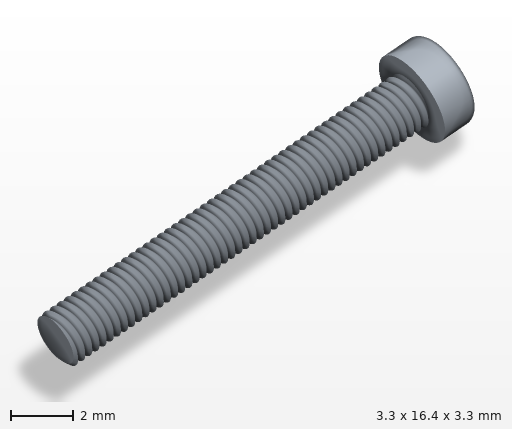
import cadquery as cq
import math

total_length = 16.35
head_diameter = 3.3
head_height = 1.4
head_fillet = 0.31

root_diameter = 1.6
crest_diameter = 2.0
thread_turns = 49.8
buried_turns = 2

shank_length = total_length - head_height
pitch = shank_length / thread_turns
root_radius = root_diameter / 2
crest_radius = crest_diameter / 2


def make_head():
    """Cylindrical head below Z = 0 with a rounded outer rim."""
    head = cq.Workplane("XY").circle(head_diameter / 2).extrude(-head_height)
    return head.faces("<Z").edges().fillet(head_fillet)


def helix_turn(radius, start_z):
    """One turn of a right-handed helix that starts and ends above +X."""
    wire = cq.Wire.makeHelix(pitch, pitch, radius, center=cq.Vector(0, 0, start_z))
    return wire.Edges()[0]


def make_end_caps(start_z, profile_start_z):
    """Close one end: a helicoid from the axis to the root, and a radial face beside it."""
    axis = cq.Edge.makeLine(cq.Vector(0, 0, start_z), cq.Vector(0, 0, start_z + pitch))
    helicoid = cq.Face.makeRuledSurface(axis, helix_turn(root_radius, start_z))
    profile = [
        (0, profile_start_z),
        (root_radius, profile_start_z),
        (crest_radius, profile_start_z + pitch / 2),
        (root_radius, profile_start_z + pitch),
        (0, profile_start_z + pitch),
    ]
    corners = [cq.Vector(x, 0, z) for x, z in profile]
    radial = cq.Face.makeFromWires(cq.Wire.makePolygon(corners, close=True))
    return [helicoid, radial]


def make_threaded_shank():
    """Shank bounded by helical flanks, starting inside the head and cut square at the tip."""
    first_z = -buried_turns * pitch
    turns = buried_turns + math.ceil(thread_turns) + 1
    last_z = first_z + turns * pitch

    faces = make_end_caps(first_z, first_z) + make_end_caps(last_z, last_z)
    for turn in range(turns):
        root_z = first_z + turn * pitch
        root = helix_turn(root_radius, root_z)
        crest = helix_turn(crest_radius, root_z + pitch / 2)
        next_root = helix_turn(root_radius, root_z + pitch)
        faces.append(cq.Face.makeRuledSurface(root, crest))
        faces.append(cq.Face.makeRuledSurface(crest, next_root))

    shank = cq.Workplane(obj=cq.Solid.makeSolid(cq.Shell.makeShell(faces)).fix())
    beyond_tip = (
        cq.Workplane("XY")
        .workplane(offset=shank_length)
        .circle(head_diameter / 2)
        .extrude(head_height)
    )
    return shank.cut(beyond_tip)


screw = make_head().union(make_threaded_shank())

result = screw.rotate((0, 0, 0), (1, 0, 0), 90)